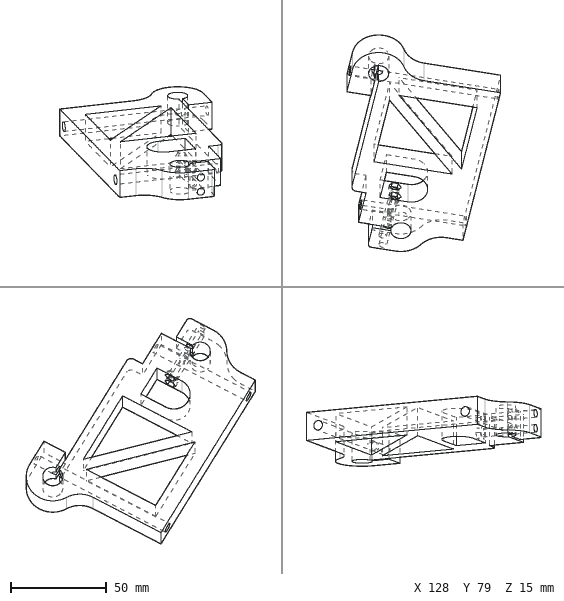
import cadquery as cq
import math

thickness = 15.0
mid_height = thickness / 2
overall_length = 128.0
overall_width = 79.0
step_x = 93.0
step_fillet = 3.0
shoulder_y = 55.9

clamp_radius = 14.0
bore_diameter = 10.5
slit_width = 2.0
left_clamp_x = clamp_radius
left_clamp_y = overall_width - clamp_radius
left_jaw_end_x = 29.2
right_clamp_x = overall_length - clamp_radius
right_clamp_y = 33.1
right_jaw_end_y = 48.1
right_jaw_fillet = 2.0
top_edge_y = left_clamp_y - slit_width / 2
shoulder_end_x = right_clamp_x - slit_width / 2

window_left = 26.1
window_top = shoulder_y
window_side = 45.8
window_right = window_left + window_side
window_bottom = window_top - window_side
brace_offset = 4.2

slot_left = 77.5
slot_right = 94.5
slot_top = right_jaw_end_y
slot_radius = (slot_right - slot_left) / 2

long_screw_diameter = 5.0
long_screw_positions = (20.9, 106.8)
cross_screw_y = 40.0
cross_screw_diameter = 4.0
nut_across_flats = 5.5
nut_across_corners = nut_across_flats / math.cos(math.radians(30))
nut_pocket_depth = 2.5
cross_screw_spacing = 7.9

blend_drop = 2 * clamp_radius * math.sin(math.radians(60))
cos_30 = math.cos(math.radians(30))


def make_plate():
    """Outline with both clamp jaws, extruded to the plate thickness."""
    r = clamp_radius
    diagonal = r * math.sqrt(0.5)
    blend_mid = r * (1 - cos_30)
    left_blend_y = left_clamp_y - blend_drop
    right_blend_y = right_clamp_y - blend_drop
    slit_end_x = left_clamp_x
    slit_end_y = right_clamp_y
    plate = (
        cq.Workplane("XY")
        .moveTo(left_clamp_x, 0)
        .lineTo(right_clamp_x, 0)
        .lineTo(right_clamp_x, right_blend_y)
        .threePointArc(
            (right_clamp_x + blend_mid, right_blend_y + r / 2),
            (right_clamp_x + r / 2, right_clamp_y - blend_drop / 2),
        )
        .threePointArc(
            (right_clamp_x + r * cos_30, right_clamp_y - r / 2),
            (overall_length, right_clamp_y),
        )
        .lineTo(overall_length, right_jaw_end_y)
        .lineTo(right_clamp_x + slit_width / 2, right_jaw_end_y)
        .lineTo(right_clamp_x + slit_width / 2, slit_end_y)
        .lineTo(shoulder_end_x, slit_end_y)
        .lineTo(shoulder_end_x, shoulder_y)
        .lineTo(step_x, shoulder_y)
        .lineTo(step_x, top_edge_y)
        .lineTo(slit_end_x, top_edge_y)
        .lineTo(slit_end_x, left_clamp_y + slit_width / 2)
        .lineTo(left_jaw_end_x, left_clamp_y + slit_width / 2)
        .lineTo(left_jaw_end_x, overall_width)
        .lineTo(left_clamp_x, overall_width)
        .threePointArc(
            (left_clamp_x - diagonal, left_clamp_y + diagonal),
            (0, left_clamp_y),
        )
        .threePointArc(
            (left_clamp_x - r * cos_30, left_clamp_y - r / 2),
            (left_clamp_x - r / 2, left_clamp_y - blend_drop / 2),
        )
        .threePointArc(
            (left_clamp_x - blend_mid, left_blend_y + r / 2),
            (left_clamp_x, left_blend_y),
        )
        .close()
        .extrude(thickness)
    )
    step_corner = cq.NearestToPointSelector((step_x, top_edge_y, mid_height))
    plate = plate.edges(step_corner).fillet(step_fillet)
    jaw_corner = cq.NearestToPointSelector((overall_length, right_jaw_end_y, mid_height))
    return plate.edges(jaw_corner).fillet(right_jaw_fillet)


def make_clamp_bores():
    centres = [(left_clamp_x, left_clamp_y), (right_clamp_x, right_clamp_y)]
    return cq.Workplane("XY").pushPoints(centres).circle(bore_diameter / 2).extrude(thickness)


def make_window():
    """Two triangular openings on either side of the diagonal brace."""
    upper = [
        (window_left + brace_offset, window_top),
        (window_right, window_top),
        (window_right, window_bottom + brace_offset),
    ]
    lower = [
        (window_left, window_top - brace_offset),
        (window_left, window_bottom),
        (window_right - brace_offset, window_bottom),
    ]
    upper_opening = cq.Workplane("XY").polyline(upper).close().extrude(thickness)
    lower_opening = cq.Workplane("XY").polyline(lower).close().extrude(thickness)
    return upper_opening.union(lower_opening)


def make_slot():
    return (
        cq.Workplane("XY")
        .moveTo(slot_left, slot_top)
        .lineTo(slot_left, right_clamp_y)
        .threePointArc(
            (slot_left + slot_radius, right_clamp_y - slot_radius),
            (slot_right, right_clamp_y),
        )
        .lineTo(slot_right, slot_top)
        .close()
        .extrude(thickness)
    )


def make_long_screw_holes():
    """Holes along Y through the whole width of the plate."""
    centres = [(x, mid_height) for x in long_screw_positions]
    return (
        cq.Workplane("XZ")
        .pushPoints(centres)
        .circle(long_screw_diameter / 2)
        .extrude(-overall_width)
    )


def cross_screw_centres(start_x):
    """Workplane facing +X holding the two screw centres, one above the other."""
    plane = cq.Workplane("YZ", origin=(start_x, cross_screw_y, mid_height))
    return plane.rarray(1.3, cross_screw_spacing, 1, 2)


def make_cross_screw_holes():
    """Screw holes through the right clamp, with hexagonal nut pockets in the slot wall."""
    holes = (
        cross_screw_centres(slot_right)
        .circle(cross_screw_diameter / 2)
        .extrude(overall_length - slot_right)
    )
    nut_pockets = (
        cross_screw_centres(slot_right)
        .polygon(6, nut_across_corners)
        .extrude(nut_pocket_depth)
    )
    return holes.union(nut_pockets)


result = (
    make_plate()
    .cut(make_clamp_bores())
    .cut(make_window())
    .cut(make_slot())
    .cut(make_long_screw_holes())
    .cut(make_cross_screw_holes())
)